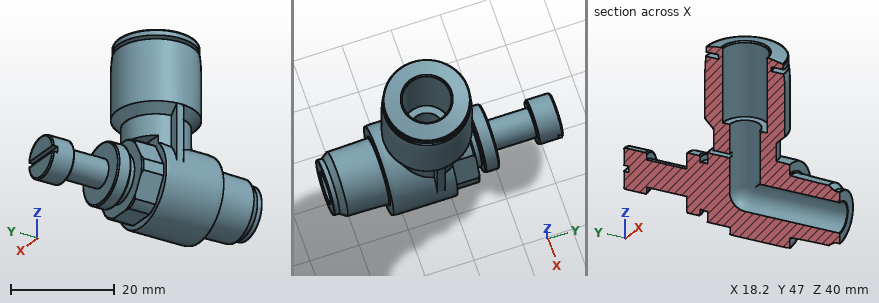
import cadquery as cq


overall_length = 47
overall_height = 40.0

body_diameter = 18.2
body_end_diameter = 17.95
body_rear_y = 3.3
body_front_y = -9.78
body_rear_chamfer = 0.38
body_front_taper = 0.95

spigot_shoulder_diameter = 14.1
spigot_root_diameter = 13.45
spigot_end_diameter = 13.0
spigot_tip_diameter = 11.2
spigot_root_y = body_front_y - 0.2
spigot_end_y = -18.25
spigot_tip_start_y = -19.6
front_y = -20.7
spigot_edge_chamfer = 0.1

hex_across_flats = 15.0
hex_corner_diameter = 16.07
hex_rear_y = 8.2
hex_chamfer = 0.3

neck_diameter = 10.4
collar_diameter = 13.0
collar_front_y = 9.7
collar_rear_y = 12.7
neck_chamfer = 0.25
rod_diameter = 6.0
head_diameter = 9.0
head_front_y = 21.3
rear_y = front_y + overall_length
screw_chamfer = 0.3
slot_width = 1.2
slot_depth = 1.05

stem_diameter = 13.7
stem_rear_bottom_z = 8.22
stem_top_z = 12.85
sleeve_diameter = 17.5
sleeve_shoulder_diameter = 17.35
sleeve_top_diameter = 17.0
sleeve_bottom_z = 14.7
sleeve_taper_z = 25.2
sleeve_shoulder_z = 26.75
sleeve_top_z = 28.15

ring_neck_diameter = 11.5
ring_diameter = 16.85
ring_rim_diameter = 16.55
ring_neck_flare = 0.3
ring_bottom_z = 29.0
ring_side_top_z = 30.05
ring_rim_z = 30.25
ring_top_z = overall_height - body_diameter / 2

rib_thickness = 1.55

tube_hole_diameter = 9.55
tube_mouth_diameter = 10.1
tube_seat_z = sleeve_bottom_z
bore_diameter = 6.5
bore_mouth_diameter = 6.7


def turned_y(stations):
    """Solid of revolution about Y from (diameter, y) stations."""
    outline = [(diameter / 2, y) for diameter, y in stations]
    outline = [(0, stations[0][1])] + outline + [(0, stations[-1][1])]
    return cq.Workplane("XY").polyline(outline).close().revolve(360, (0, 0), (0, 1))


def turned_z(stations):
    """Solid of revolution about Z from (diameter, z) stations."""
    outline = [(diameter / 2, z) for diameter, z in stations]
    outline = [(0, stations[0][1])] + outline + [(0, stations[-1][1])]
    return cq.Workplane("XZ").polyline(outline).close().revolve(360, (0, 0), (0, 1))


def chamfered_disc(diameter, y_start, y_end, chamfer):
    """Disc along Y with both rims chamfered."""
    return turned_y([
        (diameter - 2 * chamfer, y_start),
        (diameter, y_start + chamfer),
        (diameter, y_end - chamfer),
        (diameter - 2 * chamfer, y_end),
    ])


def make_body():
    return turned_y([
        (spigot_tip_diameter - 2 * spigot_edge_chamfer, front_y),
        (spigot_tip_diameter, front_y + spigot_edge_chamfer),
        (spigot_tip_diameter, spigot_tip_start_y),
        (spigot_end_diameter, spigot_end_y),
        (spigot_root_diameter, spigot_root_y),
        (spigot_shoulder_diameter, body_front_y),
        (body_end_diameter, body_front_y),
        (body_diameter, body_front_y + body_front_taper),
        (body_diameter, body_rear_y - body_rear_chamfer),
        (body_end_diameter, body_rear_y),
    ])


def make_hexagon():
    prism = (
        cq.Workplane("XZ")
        .polygon(6, hex_across_flats, circumscribed=True)
        .extrude(-hex_rear_y)
        .rotate((0, 0, 0), (0, 1, 0), 30)
    )
    turned_blank = turned_y([
        (hex_corner_diameter, 0),
        (hex_corner_diameter, hex_rear_y - hex_chamfer),
        (hex_corner_diameter - 2 * hex_chamfer, hex_rear_y),
    ])
    return prism.intersect(turned_blank)


def make_screw():
    neck = turned_y([
        (neck_diameter, 0),
        (neck_diameter, collar_front_y - neck_chamfer),
        (neck_diameter - 2 * neck_chamfer, collar_front_y),
    ])
    collar = chamfered_disc(collar_diameter, collar_front_y, collar_rear_y, screw_chamfer)
    rod = turned_y([(rod_diameter, collar_front_y), (rod_diameter, rear_y - slot_depth)])
    head = chamfered_disc(head_diameter, head_front_y, rear_y, screw_chamfer)
    slot = (
        cq.Workplane("XY")
        .box(head_diameter, 2 * slot_depth, slot_width)
        .translate((0, rear_y, 0))
    )
    return neck.union(collar).union(rod).union(head).cut(slot)


def make_socket():
    socket = turned_z([
        (stem_diameter, 0),
        (stem_diameter, stem_top_z),
        (sleeve_diameter, sleeve_bottom_z),
        (sleeve_diameter, sleeve_taper_z),
        (sleeve_shoulder_diameter, sleeve_shoulder_z),
        (sleeve_top_diameter, sleeve_top_z),
        (ring_neck_diameter, sleeve_top_z),
        (ring_neck_diameter, ring_bottom_z - ring_neck_flare),
        (ring_neck_diameter + ring_neck_flare, ring_bottom_z),
        (ring_diameter, ring_bottom_z),
        (ring_diameter, ring_side_top_z),
        (ring_rim_diameter, ring_rim_z),
        (tube_mouth_diameter, ring_top_z),
    ])
    hexagon_clearance = (
        cq.Workplane("XY", origin=(0, body_rear_y + stem_diameter / 2, 0))
        .rect(stem_diameter, stem_diameter)
        .extrude(stem_rear_bottom_z)
    )
    return socket.cut(hexagon_clearance)


def make_ribs():
    return cq.Workplane("XY").rect(sleeve_diameter, rib_thickness).extrude(sleeve_bottom_z)


def make_passages():
    mouth_chamfer = (tube_mouth_diameter - tube_hole_diameter) / 2
    socket_passage = turned_z([
        (bore_diameter, 0),
        (bore_diameter, tube_seat_z),
        (tube_hole_diameter, tube_seat_z),
        (tube_hole_diameter, ring_top_z - mouth_chamfer),
        (tube_mouth_diameter, ring_top_z),
    ])
    bore_chamfer = (bore_mouth_diameter - bore_diameter) / 2
    spigot_passage = turned_y([
        (bore_mouth_diameter, front_y),
        (bore_diameter, front_y + bore_chamfer),
        (bore_diameter, 0),
    ])
    elbow = cq.Workplane("XY").sphere(bore_diameter / 2)
    return socket_passage.union(spigot_passage).union(elbow)


result = (
    make_body()
    .union(make_socket())
    .union(make_ribs())
    .union(make_hexagon())
    .union(make_screw())
    .cut(make_passages())
)